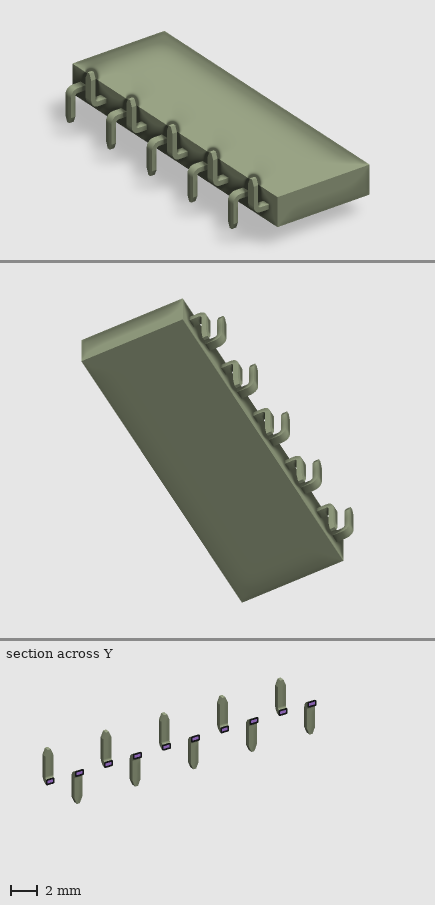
import cadquery as cq

body_length = 25.65
body_depth = 8.5
body_height = 2.55

pin_count = 10
pin_pitch = 2.55
pin_width = 0.7
pin_thickness = 0.4
pin_reach = 1.4
pin_span = 5.3
bend_radius = 0.65
tip_length = 0.51
tip_width = 0.25


def make_body():
    return cq.Workplane("XY").box(body_length, body_depth, body_height).translate((0, body_depth / 2, 0))


def make_pin():
    """Pin centred on X = 0 that leaves the block toward -Y and bends down to a tapered tip."""
    top = pin_thickness / 2
    tip = -pin_span / 2
    bent_strip = (
        cq.Workplane("YZ")
        .moveTo(0, top)
        .lineTo(bend_radius - pin_reach, top)
        .radiusArc((-pin_reach, top - bend_radius), -bend_radius)
        .lineTo(-pin_reach, tip)
        .lineTo(pin_thickness - pin_reach, tip)
        .lineTo(pin_thickness - pin_reach, top - bend_radius)
        .radiusArc((bend_radius - pin_reach, -top), bend_radius - pin_thickness)
        .lineTo(0, -top)
        .close()
        .extrude(pin_width / 2, both=True)
    )
    tapered_outline = (
        cq.Workplane("XZ")
        .polyline([
            (-pin_width / 2, top),
            (pin_width / 2, top),
            (pin_width / 2, tip + tip_length),
            (tip_width / 2, tip),
            (-tip_width / 2, tip),
            (-pin_width / 2, tip + tip_length),
        ])
        .close()
        .extrude(pin_reach)
    )
    return bent_strip.intersect(tapered_outline)


down_pin = make_pin()
up_pin = down_pin.mirror("XY")
first_pin_x = -pin_pitch * (pin_count - 1) / 2

result = make_body()
for index in range(pin_count):
    pin = down_pin if index % 2 == 0 else up_pin
    result = result.union(pin.translate((first_pin_x + index * pin_pitch, 0, 0)))